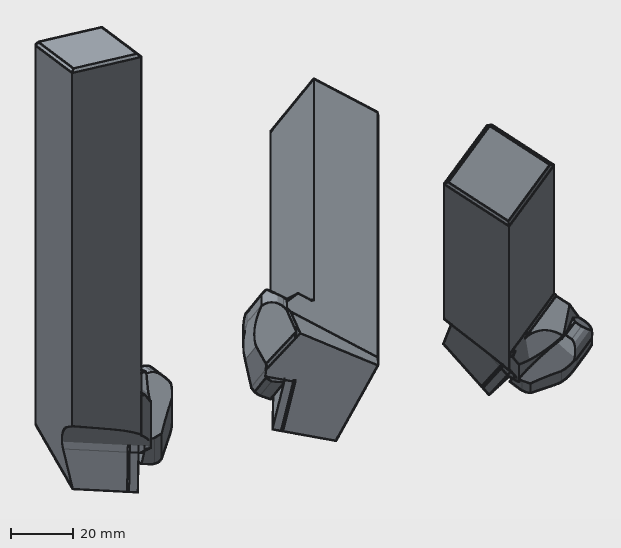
import cadquery as cq
import math


total_length = 151.52
shank_size = 25.4
edge_chamfer = 1.0

tip = cq.Vector(30.65, 21.2, 0)
rake_normal = cq.Vector(0.23, 1, -0.185).normalized()
flank_slope = 0.505
insert_angle = 35
insert_edge = 16.6
insert_thickness = 3.0
pad_thickness = 0.7

ledge_height = 31.1
ledge_fillet = 0.8
head_depth = 35.6
nose_height = 11.4
bevel_height = 19.2
bevel_angle = 63

seat_ridge = cq.Vector(9.9, 35.8, ledge_height)
seat_side_slope = 0.44
seat_rise = 0.57
corner_seat_point = cq.Vector(2.5, 28.4, 14.0)
corner_seat_normal = cq.Vector(-0.53, 0.42, -0.73)

notch_radius = 6.4
notch_distance = 12.8

scoop_radius = 14.4
scoop_start = cq.Vector(12.7, 28.7, ledge_height)
scoop_axis = cq.Vector(1, 1, -1)
scoop_normal = cq.Vector(1, 1, 2)

clamp_depth = 42.88
clamp_side = 25.2
clamp_bottom = 5.9
clamp_top = 30.0
underside_start = (33.3, 6.9)
underside_end = (39.0, 11.6)
clamp_corner_point = cq.Vector(0, 36.6, 19.6)
clamp_bevel_height = 24.9
clamp_bevel_width = 3.6
crown_start = 9.0
crown_middle = (17.4, 24.2)
crown_end_height = 15.0
plan_left_end = (0, 36.3)
plan_left_middle = (1.0, 40.2)
plan_rear_start = (4.0, clamp_depth)
plan_rear_end = (10.6, clamp_depth)
plan_rear_middle = (15.0, 42.3)
plan_slant_start = (18.0, 40.6)
plan_slant_end = (24.7, 33.2)
plan_right_start = (clamp_side, 30.2)
heel_start = (25.5, 6.85)
heel_end = (29.5, clamp_bottom)
bottom_end = (31.8, clamp_bottom)
rear_bottom_middle = (41.9, 15.9)
rear_bottom = (clamp_depth, 21.0)
rear_top = (clamp_depth, 26.5)
rear_top_middle = (41.4, 28.7)
top_rear = (38.5, clamp_top)
top_front = (36.0, clamp_top)
front_middle = (29.3, 22.0)

reach = 200.0

edge_run = cq.Vector(-1, 0, flank_slope)
lower_edge = edge_run - cq.Vector(0, edge_run.dot(rake_normal) / rake_normal.y, 0)
rake_plane = cq.Plane(origin=tip, xDir=lower_edge, normal=rake_normal)
upper_sign = math.copysign(1, rake_plane.yDir.z)


def half_space(point, normal):
    """Block that fills everything on the side of a plane its normal points to."""
    plane = cq.Plane(origin=point, normal=normal)
    return cq.Workplane(plane).rect(2 * reach, 2 * reach).extrude(reach)


def from_upper_edge(along, outward):
    """Rake-plane point given by its distance along the upper cutting edge and away from the insert."""
    angle = math.radians(insert_angle)
    x = along * math.cos(angle) - outward * math.sin(angle)
    y = along * math.sin(angle) + outward * math.cos(angle)
    return x, upper_sign * y



def insert_prism(bottom, height):
    """Rhombic prism with the outline of the insert, starting at a height above the rake face."""
    upper_x, upper_y = from_upper_edge(insert_edge, 0)
    outline = [(0, 0), (insert_edge, 0), (insert_edge + upper_x, upper_y), (upper_x, upper_y)]
    return cq.Workplane(rake_plane).workplane(offset=bottom).polyline(outline).close().extrude(height)



def lower_side_cuts():
    """Space below the lower cutting flank and outside the bevel on the -X corner."""
    flank = half_space(tip, rake_plane.yDir * -upper_sign)
    bevel = math.radians(bevel_angle)
    bevel_normal = cq.Vector(-math.sin(bevel), 0, -math.cos(bevel))
    return flank.union(half_space(cq.Vector(0, 0, bevel_height), bevel_normal))


def clamp_plan():
    """Outline of the clamp along Z, reaching back into the shank."""
    return (
        cq.Workplane()
        .moveTo(0, 0)
        .lineTo(*plan_left_end)
        .threePointArc(plan_left_middle, plan_rear_start)
        .lineTo(*plan_rear_end)
        .threePointArc(plan_rear_middle, plan_slant_start)
        .lineTo(*plan_slant_end)
        .lineTo(*plan_right_start)
        .lineTo(clamp_side, 0)
        .close()
        .extrude(total_length)
    )



def make_shank():
    shank = cq.Workplane().box(shank_size, shank_size, total_length, centered=False)
    shank = shank.edges("|Z and <X and <Y").chamfer(edge_chamfer)
    return shank.faces(">Z").edges().chamfer(edge_chamfer)


def head_blank():
    """Block under the ledge, its +Y corner following the clamp, and a nose that carries the tip."""
    block = cq.Workplane().box(shank_size, head_depth, ledge_height, centered=False)
    block = block.intersect(clamp_plan())
    nose = cq.Workplane().box(tip.x, shank_size, nose_height, centered=False)
    core = cq.Workplane().box(shank_size, shank_size, ledge_height, centered=False)
    return block.union(core).union(nose).edges("|Z and <X and <Y").chamfer(edge_chamfer)


def seat_side(direction, rise):
    """Space above the side of the roof-shaped seat that lies towards -X (-1) or +X (1)."""
    return half_space(seat_ridge, cq.Vector(direction * seat_side_slope, 1, rise))


def underside():
    """Space beyond the sloping underside of the clamp."""
    run = underside_end[0] - underside_start[0]
    rise = underside_end[1] - underside_start[1]
    return half_space(cq.Vector(0, *underside_start), cq.Vector(0, rise, -run))


def scoop():
    center = scoop_start + scoop_normal.normalized() * scoop_radius
    plane = cq.Plane(origin=center, normal=scoop_axis)
    cylinder = cq.Workplane(plane).circle(scoop_radius).extrude(reach, both=True)
    return cylinder.intersect(half_space(cq.Vector(0, shank_size, 0), cq.Vector(0, 1, 0)))


def chip_notch():
    """Space outside the upper cutting flank, up to the round notch, swept along the rake normal."""
    diagonal = notch_radius * math.sqrt(0.5)
    arc_middle = from_upper_edge(notch_distance + diagonal, notch_radius - diagonal)
    arc_end = from_upper_edge(notch_distance + notch_radius, notch_radius)
    return (
        cq.Workplane(rake_plane)
        .workplane(offset=-reach / 2)
        .moveTo(*from_upper_edge(-shank_size, 0))
        .lineTo(*from_upper_edge(notch_distance, 0))
        .threePointArc(arc_middle, arc_end)
        .lineTo(*from_upper_edge(notch_distance + notch_radius, 2 * shank_size))
        .lineTo(*from_upper_edge(-shank_size, 2 * shank_size))
        .close()
        .extrude(reach)
    )


def ledge_corner_fillet():
    """Strip that rounds the inner corner between the ledge and the shank."""
    return (
        cq.Workplane("YZ")
        .moveTo(shank_size, ledge_height)
        .lineTo(shank_size + ledge_fillet, ledge_height)
        .radiusArc((shank_size, ledge_height + ledge_fillet), -ledge_fillet)
        .close()
        .extrude(shank_size)
    )


def make_holder():
    head = head_blank().union(ledge_corner_fillet()).cut(underside()).cut(scoop())
    head = head.cut(seat_side(-1, seat_rise)).cut(seat_side(1, 0))
    head = head.cut(half_space(corner_seat_point, corner_seat_normal))
    body = make_shank().union(head)
    body = body.cut(lower_side_cuts()).cut(chip_notch())
    pocket_floor = -insert_thickness - pad_thickness
    return body.cut(insert_prism(pocket_floor, reach / 2))



def clamp_profile():
    """Outline of the clamp along X."""
    return (
        cq.Workplane("YZ")
        .moveTo(*heel_start)
        .lineTo(*heel_end)
        .lineTo(*bottom_end)
        .lineTo(*underside_start)
        .lineTo(*underside_end)
        .threePointArc(rear_bottom_middle, rear_bottom)
        .lineTo(*rear_top)
        .threePointArc(rear_top_middle, top_rear)
        .lineTo(*top_front)
        .lineTo(*front_middle)
        .close()
        .extrude(shank_size)
    )


def clamp_section():
    """Outline of the clamp along Y: bevelled -X side, flat top and a round crown falling to +X."""
    return (
        cq.Workplane("XZ")
        .moveTo(0, 0)
        .lineTo(0, clamp_bevel_height)
        .lineTo(clamp_bevel_width, clamp_top)
        .lineTo(crown_start, clamp_top)
        .threePointArc(crown_middle, (clamp_side, crown_end_height))
        .lineTo(clamp_side, 0)
        .close()
        .extrude(-2 * clamp_depth)
    )


def make_clamp(neighbours):
    clamp = clamp_plan().intersect(clamp_profile()).intersect(clamp_section())
    clamp = clamp.intersect(half_space(tip, rake_normal))
    clamp = clamp.cut(half_space(clamp_corner_point, corner_seat_normal))
    clamp = clamp.cut(lower_side_cuts())
    for neighbour in neighbours:
        clamp = clamp.cut(neighbour)
    return clamp.solids(">Y")


holder = make_holder()
insert = insert_prism(-insert_thickness, insert_thickness)
seat_pad = insert_prism(-insert_thickness - pad_thickness, pad_thickness)
clamp = make_clamp([holder, insert])

result = cq.Compound.makeCompound([body.solids().val() for body in (holder, insert, seat_pad, clamp)])